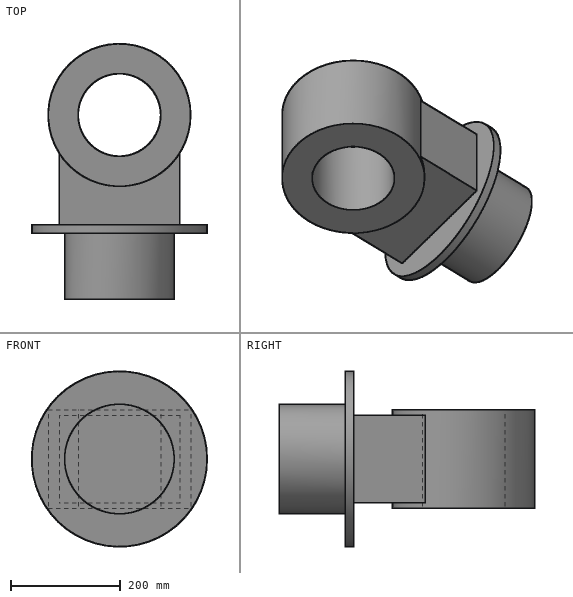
import cadquery as cq

overall_length = 466.0
ring_diameter = 260.0
bore_diameter = 150.0
ring_height = 180.0

neck_width = 220.0
neck_height = 160.0

flange_diameter = 320.0
flange_thickness = 16.0
stub_diameter = 200.0
stub_length = 120.0

neck_length = overall_length - ring_diameter / 2 - flange_thickness - stub_length


def disc_along_minus_y(diameter, start, length):
    """Cylinder that begins at distance start from the ring axis and runs toward -Y."""
    return cq.Workplane("XZ", origin=(0, -start, 0)).circle(diameter / 2).extrude(length)


ring = cq.Workplane("XY").circle(ring_diameter / 2).extrude(ring_height / 2, both=True)
bore = cq.Workplane("XY").circle(bore_diameter / 2).extrude(ring_height / 2, both=True)

neck = cq.Workplane("XZ").rect(neck_width, neck_height).extrude(neck_length)
flange = disc_along_minus_y(flange_diameter, neck_length, flange_thickness)
stub = disc_along_minus_y(stub_diameter, neck_length + flange_thickness, stub_length)

result = ring.union(neck).union(flange).union(stub).cut(bore)